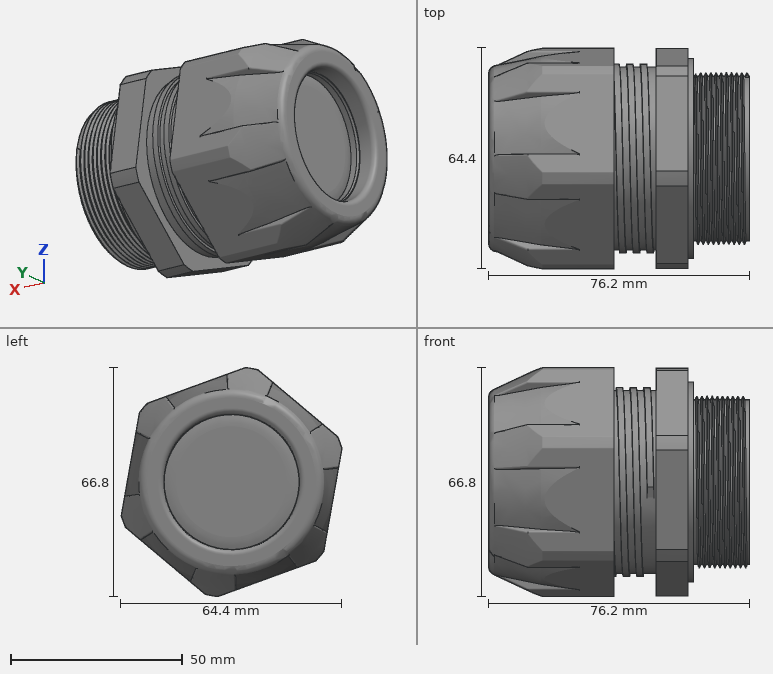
import cadquery as cq
import math


total_length = 76.15
cap_end = 36.6
hex_start = 48.9
hex_end = 58.2
gasket_thickness = 1.6
gasket_end = hex_end + gasket_thickness

across_flats = 60.0
flat_angle = 10.0
sides = 6
side_angle = 360.0 / sides
body_corner_radius = 33.4
cap_corner_radius = 33.65

cap_face_radius = 24.6
cap_rim_radius = 54.15 / 2
cap_rim_x = 1.7
cap_cone_end = 15.8
lip_radius = 39.5 / 2
lip_fillet = 1.7
lip_end = 5.9
cap_shoulder = 17.5
cap_thread_radius = 55.7 / 2
cap_edge_fillet = 0.5

scallop_sweep = 35.0
scallop_break_x = 15.4
scallop_break_radius = 29.85
scallop_slope = math.tan(math.radians(8.2))
scallop_end_radius = across_flats / 2 / math.cos(math.radians(scallop_sweep / 2))
scallop_end = scallop_break_x + (scallop_end_radius - scallop_break_radius) / scallop_slope
scallop_cut_radius = 25.1
scallop_clear_radius = 38.1

length_tolerance = 0.01

neck_radius = 53.45 / 2
body_bore_radius = 44.5 / 2
stub_radius = 48.1 / 2

neck_turns = 4.0
neck_thread_length = 16.0
neck_pitch = neck_thread_length / neck_turns
neck_crest_radius = 27.6
neck_root_width = 2.05
neck_crest_width = 1.8
neck_thread_end = 47.3
neck_thread_end_angle = 190.0
neck_ramp_angle = 183.0

stub_turns = 10.0
stub_thread_length = 15.0
stub_pitch = stub_thread_length / stub_turns
stub_crest_radius = 50.0 / 2
stub_root_width = 1.0
stub_crest_width = 0.115
stub_thread_end = 75.4
stub_thread_end_angle = 10.0

ridge_embed = 0.2

gasket_radius = 58.4 / 2

seal_end = 24.4
seal_bore_radius = 39.3 / 2
seal_mouth_radius = 40.05 / 2
seal_mouth_depth = 0.9
disc_face_x = 8.3
disc_rim_setback = 0.5
disc_face_radius = 16.15
disc_end = 13.7


def revolve_about_x(profile, sweep=360.0):
    """Turn a closed profile of (x, radius) points about the X axis."""
    return profile.revolve(sweep, (0, 0, 0), (1, 0, 0))


def turn_about_x(shape, angle):
    return shape.rotate((0, 0, 0), (1, 0, 0), angle)


def tube(start, end, outer_radius, inner_radius):
    return (
        cq.Workplane("YZ", origin=(start, 0, 0))
        .circle(outer_radius)
        .circle(inner_radius)
        .extrude(end - start)
    )


def hexagon(start, end):
    corner_diameter = across_flats / math.cos(math.radians(side_angle / 2))
    prism = (
        cq.Workplane("YZ", origin=(start, 0, 0))
        .polygon(sides, corner_diameter)
        .extrude(end - start)
    )
    return turn_about_x(prism, flat_angle + side_angle / 2)


def thread_ridge(pitch, turns, root_radius, crest_radius, root_width, crest_width, end_x, end_angle):
    """Right-handed helical ridge whose last section is centred at end_x and end_angle."""
    base_radius = root_radius - ridge_embed
    length = pitch * turns
    flank_slope = (root_width - crest_width) / 2 / (crest_radius - root_radius)
    half_base = root_width / 2 + flank_slope * ridge_embed
    half_crest = crest_width / 2
    helix = cq.Wire.makeHelix(pitch, length, base_radius)
    section = (
        cq.Workplane("XZ")
        .moveTo(base_radius, -half_base)
        .lineTo(crest_radius, -half_crest)
        .lineTo(crest_radius, half_crest)
        .lineTo(base_radius, half_base)
        .close()
    )
    ridge = section.sweep(cq.Workplane(helix), isFrenet=True)
    along_x = ridge.rotate((0, 0, 0), (1, 1, 1), 120)
    start_angle = end_angle - 360.0 * turns
    return turn_about_x(along_x, start_angle).translate((end_x - length, 0, 0))


def point_at(radius, angle):
    """(Y, Z) of a point at a radius and an angle from +Y towards +Z."""
    return radius * math.cos(math.radians(angle)), radius * math.sin(math.radians(angle))


def neck_ramp_cutter():
    """Wedge that slopes the end of the neck ridge from its crest down to the neck."""
    return (
        cq.Workplane("YZ", origin=(neck_thread_end - neck_root_width, 0, 0))
        .moveTo(*point_at(neck_crest_radius, neck_ramp_angle))
        .lineTo(*point_at(neck_radius, neck_thread_end_angle))
        .lineTo(*point_at(2 * neck_crest_radius, neck_thread_end_angle))
        .close()
        .extrude(2 * neck_root_width)
    )


def sector_cutter():
    """Deep radial-walled sector over one flat, as long as its scallop."""
    sector = revolve_about_x(
        cq.Workplane("XY")
        .moveTo(cap_rim_x, scallop_cut_radius)
        .lineTo(scallop_end, scallop_cut_radius)
        .lineTo(scallop_end, scallop_clear_radius)
        .lineTo(cap_rim_x, scallop_clear_radius)
        .close(),
        scallop_sweep,
    )
    return turn_about_x(sector, -scallop_sweep / 2)


def is_corner_edge(edge):
    """True for the outer edges of the six corners, where cone, flats, corner and scallop walls meet."""
    bounds = edge.BoundingBox()
    middle = edge.positionAt(0.5)
    on_front = bounds.xmax < cap_rim_x + length_tolerance
    on_rear_face = bounds.xmin > cap_end - length_tolerance
    on_scallop_end = abs(bounds.xmin - scallop_end) < length_tolerance and bounds.xlen < length_tolerance
    at_wall_foot = math.hypot(middle.y, middle.z) < cap_rim_radius
    return not (on_front or on_rear_face or on_scallop_end or at_wall_foot)


def cap_front_outline():
    """Outline from the axis over the front face and its round to the rim."""
    return (
        cq.Workplane("XY")
        .lineTo(0, cap_face_radius)
        .tangentArcPoint((cap_rim_x, cap_rim_radius), relative=False)
    )


def cap_corners():
    """Hexagon with a coned front and rounded corners, hollowed over each flat."""
    turned = revolve_about_x(
        cap_front_outline()
        .lineTo(cap_cone_end, cap_corner_radius)
        .lineTo(cap_end, cap_corner_radius)
        .lineTo(cap_end, 0)
        .close()
    )
    corners = turned.intersect(hexagon(0, cap_end))
    cutter = sector_cutter()
    for side in range(sides):
        corners = corners.cut(turn_about_x(cutter, flat_angle + side * side_angle))
    return corners.edges().filter(is_corner_edge).fillet(cap_edge_fillet)


def cap_core():
    """Scallop floors: a steeper front cone, then a shallow one that runs out through the flats."""
    turned = revolve_about_x(
        cap_front_outline()
        .lineTo(scallop_break_x, scallop_break_radius)
        .lineTo(scallop_end, scallop_end_radius)
        .lineTo(scallop_end, 0)
        .close()
    )
    return turned.intersect(hexagon(0, cap_end))


def cap_bore():
    """Rounded lip, seat of the sealing insert and clearance over the neck thread."""
    return revolve_about_x(
        cq.Workplane("XY")
        .lineTo(0, lip_radius + lip_fillet)
        .radiusArc((lip_fillet, lip_radius), -lip_fillet)
        .lineTo(lip_end, lip_radius)
        .lineTo(lip_end, body_bore_radius)
        .lineTo(cap_shoulder, body_bore_radius)
        .lineTo(cap_shoulder, cap_thread_radius)
        .lineTo(cap_end, cap_thread_radius)
        .lineTo(cap_end, 0)
        .close()
    )


def make_cap_nut():
    return cap_corners().union(cap_core()).cut(cap_bore())


def make_gland_body():
    neck = tube(cap_shoulder, hex_start, neck_radius, body_bore_radius)
    collar = hexagon(hex_start, hex_end).intersect(
        tube(hex_start, hex_end, body_corner_radius, body_bore_radius)
    )
    stub = tube(hex_end, total_length, stub_radius, body_bore_radius)
    neck_ridge = thread_ridge(
        neck_pitch, neck_turns, neck_radius, neck_crest_radius,
        neck_root_width, neck_crest_width, neck_thread_end, neck_thread_end_angle,
    )
    stub_ridge = thread_ridge(
        stub_pitch, stub_turns, stub_radius, stub_crest_radius,
        stub_root_width, stub_crest_width, stub_thread_end, stub_thread_end_angle,
    )
    neck_ridge = neck_ridge.cut(neck_ramp_cutter())
    return neck.union(neck_ridge).union(collar).union(stub.union(stub_ridge))


def make_gasket():
    return tube(hex_end, gasket_end, gasket_radius, stub_radius)


def make_sealing_insert():
    return revolve_about_x(
        cq.Workplane("XY")
        .moveTo(lip_end, seal_mouth_radius)
        .lineTo(lip_end, body_bore_radius)
        .lineTo(seal_end, body_bore_radius)
        .lineTo(seal_end, seal_bore_radius)
        .lineTo(lip_end + seal_mouth_depth, seal_bore_radius)
        .close()
    )


def make_blanking_disc():
    """Disc with a flat face that rounds back slightly to its rim."""
    return revolve_about_x(
        cq.Workplane("XY")
        .moveTo(disc_face_x, 0)
        .lineTo(disc_face_x, disc_face_radius)
        .tangentArcPoint((disc_face_x + disc_rim_setback, seal_bore_radius), relative=False)
        .lineTo(disc_end, seal_bore_radius)
        .lineTo(disc_end, 0)
        .close()
    )


cap_nut = make_cap_nut()
gland_body = make_gland_body()
gasket = make_gasket()
sealing_insert = make_sealing_insert()
blanking_disc = make_blanking_disc()

result = cq.Compound.makeCompound([
    cap_nut.val(),
    gland_body.val(),
    gasket.val(),
    sealing_insert.val(),
    blanking_disc.val(),
])